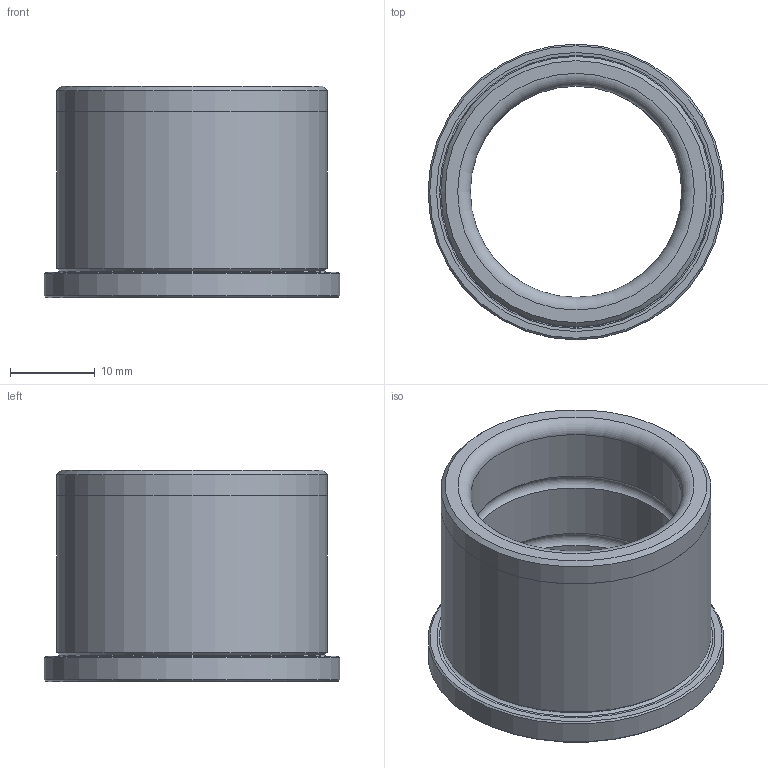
import cadquery as cq
import math

height = 25.0
bore_radius = 25.0 / 2
body_radius = 32.0 / 2
flange_radius = 35.0 / 2
flange_height = 3.0

flange_chamfer = 0.2
mouth_radius = 1.5

lead_length = 3.0
lead_relief = 0.005
lead_chamfer = 0.5

undercut_height = 0.45
undercut_reach = 0.5
undercut_depth = 0.3
undercut_angle = 8.0
undercut_run = 0.15

groove_count = 2
groove_arc_radius = 1.0
groove_depth = 0.5


def bushing_body():
    """Ring with flange, corner undercut, relieved lead and rounded bore mouths."""
    lead_radius = body_radius - lead_relief
    lead_start = height - lead_length
    mouth_outer = bore_radius + mouth_radius
    mouth_mid = mouth_radius * (1 - math.cos(math.radians(45)))
    undercut_radius = body_radius - undercut_depth
    undercut_drop = (undercut_reach - undercut_run) * math.tan(math.radians(undercut_angle))
    profile = (
        cq.Workplane("XZ")
        .moveTo(mouth_outer, 0)
        .lineTo(flange_radius - flange_chamfer, 0)
        .lineTo(flange_radius, flange_chamfer)
        .lineTo(flange_radius, flange_height - flange_chamfer)
        .lineTo(flange_radius - flange_chamfer, flange_height)
        .lineTo(body_radius + undercut_reach, flange_height)
        .lineTo(body_radius + undercut_run, flange_height - undercut_drop)
        .tangentArcPoint((undercut_radius, flange_height + undercut_height - undercut_depth), relative=False)
        .lineTo(body_radius, flange_height + undercut_height)
        .lineTo(body_radius, lead_start)
        .lineTo(lead_radius, lead_start)
        .lineTo(lead_radius, height - lead_chamfer)
        .lineTo(lead_radius - lead_chamfer, height)
        .lineTo(mouth_outer, height)
        .threePointArc((bore_radius + mouth_mid, height - mouth_mid), (bore_radius, height - mouth_radius))
        .lineTo(bore_radius, mouth_radius)
        .threePointArc((bore_radius + mouth_mid, mouth_mid), (mouth_outer, 0))
        .close()
    )
    return profile.revolve(360, (0, 0, 0), (0, 1, 0))


def bore_groove(level):
    """Ring of circular-segment section that cuts one groove at the given height."""
    center_inset = groove_arc_radius - groove_depth
    half_width = math.sqrt(groove_arc_radius ** 2 - center_inset ** 2)
    section = (
        cq.Workplane("XZ")
        .moveTo(bore_radius, level - half_width)
        .threePointArc((bore_radius + groove_depth, level), (bore_radius, level + half_width))
        .close()
    )
    return section.revolve(360, (0, 0, 0), (0, 1, 0))


result = bushing_body()
for index in range(groove_count):
    groove_level = height * (index + 1) / (groove_count + 1)
    result = result.cut(bore_groove(groove_level))